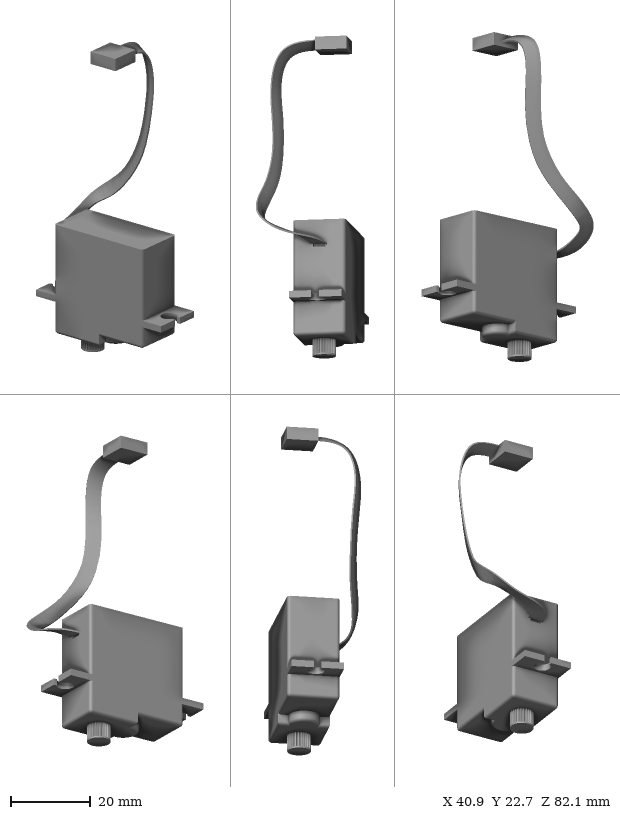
import cadquery as cq
import math


case_length = 28.3
case_depth = 13.3
wall_x = -case_length / 2
case_top = 33.6
case_bottom = 6.9
edge_radius = 0.8

boss_bottom = 4.2
boss_end_x = 0.25
boss_nose_radius = 3.95

ear_span = 40.1
ear_bottom = 12.8
ear_thickness = 1.7
ear_hole_x = 17.25
ear_hole_diameter = 4.3
ear_slot_width = 2.0

entry_width = 3.1
entry_bottom = 26.7
entry_height = 1.0
entry_depth = 1.0

shaft_x = -7.1
shaft_diameter = 5.9
shaft_collar_height = 0.4
tooth_count = 25
tooth_depth = 0.4

plug_size = 8.05
plug_height = 3.3
plug_x = 0.2
plug_back_y = 2.95
plug_top = 82.1

cable_thickness = 0.4
outer_edge_points = [
    (-1.1, plug_back_y, 81.9),
    (-1.65, 11.2, 79.8),
    (-1.2, 14.5, 72.1),
    (-1.3, 14.45, 63.0),
    (-3.4, 14.05, 52.4),
    (-8.05, 15.1, 44.3),
    (-15.3, 15.9, 37.6),
    (-19.1, 14.4, 33.9),
    (-20.6, 9.8, 30.4),
    (-18.1, -0.25, 27.75),
    (wall_x, -2.0, 27.2),
]
inner_edge_points = [
    (2.05, plug_back_y, 80.0),
    (2.0, 10.2, 78.3),
    (2.2, 12.8, 71.4),
    (2.1, 12.3, 62.5),
    (0.0, 12.1, 51.5),
    (-4.4, 12.9, 43.45),
    (-13.2, 14.4, 34.65),
    (-15.9, 12.9, 32.85),
    (-16.8, 10.2, 31.4),
    (-16.35, 3.7, 28.4),
    (wall_x, 2.4, 27.5),
]


def box_between(x_min, x_max, depth, z_min, z_max):
    """Box that is centred on Y = 0."""
    return (
        cq.Workplane("XY", origin=((x_min + x_max) / 2, 0, z_min))
        .rect(x_max - x_min, depth)
        .extrude(z_max - z_min)
    )


def make_motor_half():
    """Full-length block with a sharp top rim and rounded upright and bottom edges."""
    block = box_between(wall_x, -wall_x, case_depth, case_bottom, case_top)
    return block.edges("|Z").fillet(edge_radius).faces("<Z").edges().fillet(edge_radius)


def make_gear_boss():
    """Block below the motor half that ends in a narrower round nose."""
    block = box_between(wall_x, boss_end_x, case_depth, boss_bottom, ear_bottom)
    block = block.edges("|Z and <X").fillet(edge_radius)
    nose = (
        cq.Workplane("XY", origin=(boss_end_x, 0, boss_bottom))
        .circle(boss_nose_radius)
        .extrude(ear_bottom - boss_bottom)
    )
    return block.union(nose).faces("<Z").edges().fillet(edge_radius)


def make_ears():
    ear_top = ear_bottom + ear_thickness
    ears = box_between(-ear_span / 2, ear_span / 2, case_depth, ear_bottom, ear_top)
    for side in (-1, 1):
        hole = (
            cq.Workplane("XY", origin=(side * ear_hole_x, 0, ear_bottom))
            .circle(ear_hole_diameter / 2)
            .extrude(ear_thickness)
        )
        slot_ends = sorted((side * ear_hole_x, side * ear_span / 2))
        slot = box_between(*slot_ends, ear_slot_width, ear_bottom, ear_top)
        ears = ears.cut(hole).cut(slot)
    return ears


def make_housing():
    entry_top = entry_bottom + entry_height
    entry = box_between(wall_x, wall_x + entry_depth, entry_width, entry_bottom, entry_top)
    return make_motor_half().union(make_gear_boss()).union(make_ears()).cut(entry)


def make_output_shaft():
    """Shaft with flat-topped teeth above a plain collar."""
    corners_per_tooth = 4
    tip_radius = shaft_diameter / 2
    root_radius = tip_radius - tooth_depth
    corner_angle = 2 * math.pi / (corners_per_tooth * tooth_count)
    outline = []
    for corner in range(corners_per_tooth * tooth_count):
        radius = tip_radius if corner % corners_per_tooth < corners_per_tooth / 2 else root_radius
        angle = corner * corner_angle
        outline.append((radius * math.cos(angle), radius * math.sin(angle)))
    axis = cq.Workplane("XY", origin=(shaft_x, 0, 0))
    collar = axis.circle(tip_radius).extrude(shaft_collar_height)
    teeth = axis.polyline(outline).close().extrude(boss_bottom)
    return teeth.union(collar)


def cable_stations():
    """Curve parameters from 0 to 1, spaced along the middle of the ribbon, and its length."""
    middles = [
        (cq.Vector(*outer) + cq.Vector(*inner)) / 2
        for outer, inner in zip(outer_edge_points, inner_edge_points)
    ]
    distances = [0.0]
    for start, end in zip(middles, middles[1:]):
        distances.append(distances[-1] + (end - start).Length)
    length = distances[-1]
    return [distance / length for distance in distances], length


def cable_edge(points):
    """Smooth curve that leaves the plug along +Y and meets the case along +X."""
    stations, length = cable_stations()
    return cq.Edge.makeSpline(
        [cq.Vector(*point) for point in points],
        tangents=[cq.Vector(0, length, 0), cq.Vector(length, 0, 0)],
        parameters=stations,
        scale=False,
    )


def make_cable():
    """Twisted ribbon between the two edge curves, given its thickness."""
    ribbon = cq.Face.makeRuledSurface(cable_edge(outer_edge_points), cable_edge(inner_edge_points))
    return ribbon.thicken(cable_thickness)


def make_plug():
    centre_y = plug_back_y - plug_size / 2
    return (
        cq.Workplane("XY", origin=(plug_x, centre_y, plug_top - plug_height))
        .rect(plug_size, plug_size)
        .extrude(plug_height)
    )


housing = make_housing()
output_shaft = make_output_shaft()
cable = make_cable()
plug = make_plug()

result = cq.Compound.makeCompound([housing.val(), output_shaft.val(), cable, plug.val()])